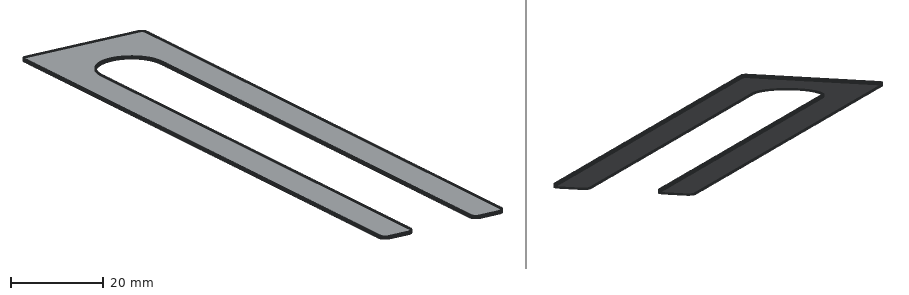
import cadquery as cq

length = 139.7
width = 31.7
thickness = 0.5

slot_width = 15.6
slot_radius = slot_width / 2
closed_end_web = 11.2
slot_center_x = closed_end_web + slot_radius

closed_end_corner_radius = 1.0
prong_tip_radius = 1.5


def make_plate():
    """Flat plate with its closed end at X = 0, centred on Y, resting on Z = 0."""
    plate = cq.Workplane("XY").box(length, width, thickness, centered=(False, True, False))
    return plate.edges("|Z and <X").fillet(closed_end_corner_radius)


def make_slot():
    """Cutter with a round closed end, running out through the +X side."""
    return (
        cq.Workplane("XY")
        .moveTo(length, -slot_radius)
        .lineTo(slot_center_x, -slot_radius)
        .threePointArc((closed_end_web, 0), (slot_center_x, slot_radius))
        .lineTo(length, slot_radius)
        .close()
        .extrude(thickness)
    )


fork = make_plate().cut(make_slot())
result = fork.edges("|Z and >X").fillet(prong_tip_radius)